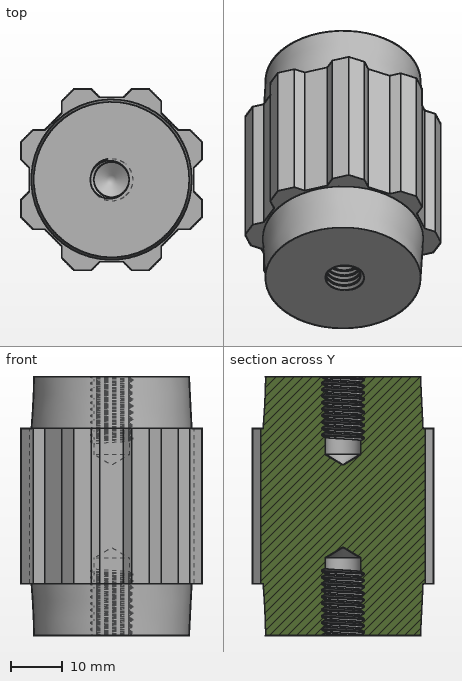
import cadquery as cq
import math

height = 50.0
width_across_flats = 35.0
grip_height = 30.0
face_count = 8

notch_depth = 1.6
notch_mouth_width = 7.8
notch_floor_width = notch_mouth_width - 2 * notch_depth

spigot_end_diameter = 30.0
spigot_root_diameter = 31.0

bore_diameter = 6.8
thread_root_diameter = 8.15
thread_pitch = 1.25
thread_root_flat = thread_pitch / 8
thread_flank_angle = math.radians(30)
thread_length = 12.5
bore_depth = 15.0
drill_point_angle = math.radians(118)

grip_bottom = (height - grip_height) / 2
grip_top = grip_bottom + grip_height


def make_grip():
    """Octagonal grip with a trapezoidal notch along every face."""
    face_angle = 360 / face_count
    circumscribed_diameter = width_across_flats / math.cos(math.pi / face_count)
    face_x = width_across_flats / 2
    floor_x = face_x - notch_depth
    grip = (
        cq.Workplane("XY", origin=(0, 0, grip_bottom))
        .transformed(rotate=(0, 0, face_angle / 2))
        .polygon(face_count, circumscribed_diameter)
        .extrude(grip_height)
    )
    notch = (
        cq.Workplane("XY", origin=(0, 0, grip_bottom))
        .polyline([
            (floor_x, -notch_floor_width / 2),
            (face_x, -notch_mouth_width / 2),
            (face_x, notch_mouth_width / 2),
            (floor_x, notch_floor_width / 2),
        ])
        .close()
        .extrude(grip_height)
    )
    for index in range(face_count):
        grip = grip.cut(notch.rotate((0, 0, 0), (0, 0, 1), index * face_angle))
    return grip


def make_spigots():
    """Both tapered ends and the plain core that joins them, as one turned body."""
    end_radius = spigot_end_diameter / 2
    root_radius = spigot_root_diameter / 2
    return (
        cq.Workplane("XZ")
        .polyline([
            (0, 0),
            (end_radius, 0),
            (root_radius, grip_bottom),
            (root_radius, grip_top),
            (end_radius, height),
            (0, height),
        ])
        .close()
        .revolve(360, (0, 0, 0), (0, 1, 0))
    )


def make_bore():
    """Drilled hole in the top end with a conical bottom."""
    radius = bore_diameter / 2
    shoulder_z = height - bore_depth
    tip_z = shoulder_z - radius / math.tan(drill_point_angle / 2)
    return (
        cq.Workplane("YZ")
        .polyline([(0, tip_z), (radius, shoulder_z), (radius, height), (0, height)])
        .close()
        .revolve(360, (0, 0, 0), (0, 1, 0))
    )


def make_thread_groove():
    """Right-handed V groove that runs out through the top face on the -X side."""
    bore_radius = bore_diameter / 2
    root_radius = thread_root_diameter / 2
    bore_overlap = 0.1
    root_half_width = thread_root_flat / 2
    inner_radius = bore_radius - bore_overlap
    inner_half_width = root_half_width + (root_radius - inner_radius) * math.tan(thread_flank_angle)

    start_z = height - thread_length
    helix = cq.Wire.makeHelix(thread_pitch, thread_length + thread_pitch, bore_radius)
    groove = (
        cq.Workplane("XZ")
        .polyline([
            (inner_radius, -inner_half_width),
            (root_radius, -root_half_width),
            (root_radius, root_half_width),
            (inner_radius, inner_half_width),
        ])
        .close()
        .sweep(cq.Workplane(helix), isFrenet=True)
    )
    return groove.rotate((0, 0, 0), (0, 0, 1), 180).translate((0, 0, start_z))


body = make_grip().union(make_spigots())
for cutter in (make_bore(), make_thread_groove()):
    bottom_cutter = cutter.rotate((0, 0, height / 2), (1, 0, height / 2), 180)
    body = body.cut(cutter).cut(bottom_cutter)

result = body